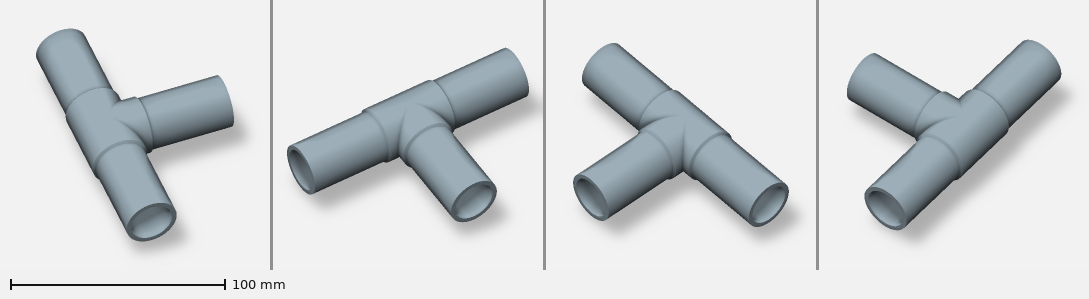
import cadquery as cq

run_length = 117.0
tube_diameter = 25.0
bore_diameter = 20.5
body_diameter = 27.3
stub_length = 40.0
branch_reach = 59.0
shoulder_length = 1.0

tube_radius = tube_diameter / 2
bore_radius = bore_diameter / 2
body_radius = body_diameter / 2
run_half = run_length / 2


def stepped_arm(reach):
    """Half-profile of one arm, axis along X, revolved from the centre outward."""
    shoulder_end = reach - stub_length
    profile = (
        cq.Workplane("XY")
        .moveTo(0, 0)
        .lineTo(0, body_radius)
        .lineTo(shoulder_end - shoulder_length, body_radius)
        .lineTo(shoulder_end, tube_radius)
        .lineTo(reach, tube_radius)
        .lineTo(reach, 0)
        .close()
    )
    return profile.revolve(360, (0, 0, 0), (1, 0, 0))


def rotate_about_z(solid, angle):
    return solid.rotate((0, 0, 0), (0, 0, 1), angle)


right_arm = stepped_arm(run_half)
left_arm = rotate_about_z(stepped_arm(run_half), 180)
branch = rotate_about_z(stepped_arm(branch_reach), 90)
outer = right_arm.union(left_arm).union(branch)

run_bore = cq.Workplane("YZ").circle(bore_radius).extrude(run_half, both=True)
branch_bore = cq.Workplane("XZ").circle(bore_radius).extrude(-branch_reach)

result = outer.cut(run_bore).cut(branch_bore).clean()